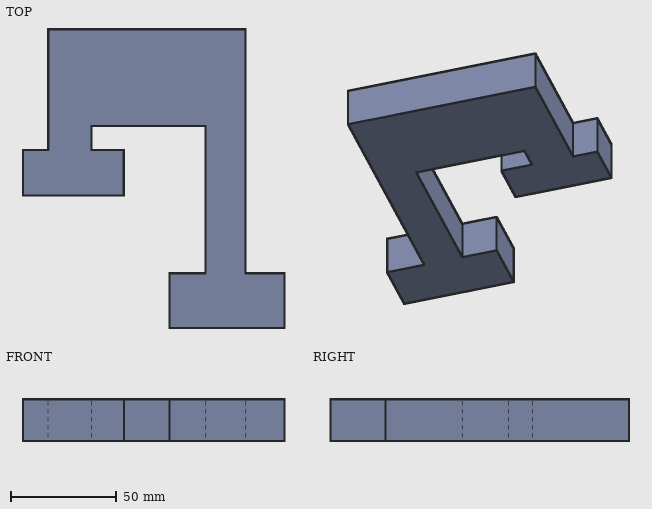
import cadquery as cq

total_width = 124.5
total_length = 142.1
thickness = 20.0

plate_left = 12.1
plate_width = 93.8
plate_length = 46.0

short_leg_width = 20.6
short_foot_width = 48.0
short_foot_length = 21.7
short_side_length = 79.2

long_leg_width = 19.0
long_foot_width = 54.9
long_foot_length = 26.2

plate_right = plate_left + plate_width
short_foot_front = total_length - short_side_length


def block(left, front, right, back):
    """Full-thickness block between two opposite corners in plan."""
    return cq.Workplane("XY").box(
        right - left, back - front, thickness, centered=False
    ).translate((left, front, 0))


plate = block(plate_left, total_length - plate_length, plate_right, total_length)

short_leg = block(plate_left, short_foot_front, plate_left + short_leg_width, total_length)
short_foot = block(0, short_foot_front, short_foot_width, short_foot_front + short_foot_length)

long_leg = block(plate_right - long_leg_width, 0, plate_right, total_length)
long_foot = block(total_width - long_foot_width, 0, total_width, long_foot_length)

result = plate.union(short_leg).union(short_foot).union(long_leg).union(long_foot).clean()